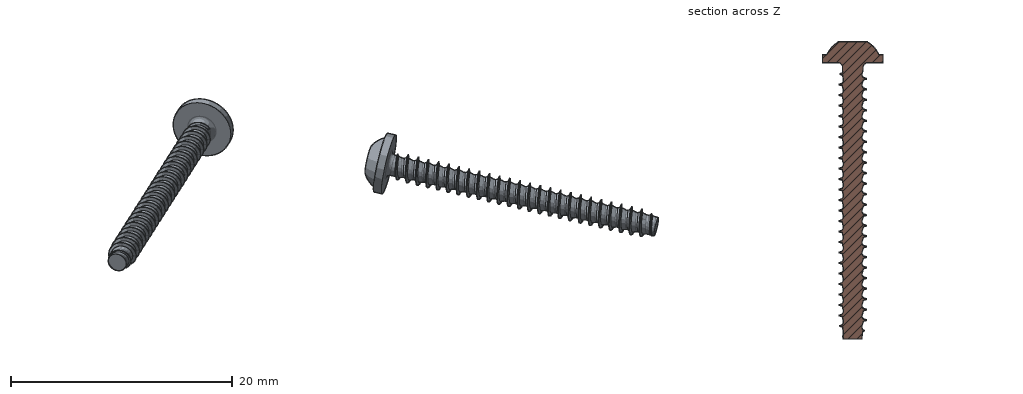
import cadquery as cq
import math

TOTAL_LENGTH = 26.9

FLANGE_DIAMETER = 5.5
FLANGE_RADIUS = FLANGE_DIAMETER / 2
FLANGE_THICKNESS = 0.75
HEAD_HEIGHT = 1.9
DOME_HEIGHT = HEAD_HEIGHT - FLANGE_THICKNESS
DOME_BASE_RADIUS = 2.37
DOME_TOP_RADIUS = 1.32

SHANK_LENGTH = TOTAL_LENGTH - HEAD_HEIGHT
CORE_RADIUS = 0.85
NECK_RADIUS = 0.95
NECK_FILLET = 0.4
NECK_LENGTH = 0.7
NECK_TAPER_LENGTH = 0.27

CREST_RADIUS = 1.26
CREST_HALF_WIDTH = 0.03
KNEE_RADIUS = 0.97
KNEE_HALF_WIDTH = 0.1
HEAD_SIDE_FOOT = 0.32
TIP_SIDE_FOOT = 0.55
ROOT_EMBED = 0.013
ROOT_RADIUS = CORE_RADIUS - ROOT_EMBED
THREAD_TOP = -0.5
THREAD_END_MARGIN = 0.03
TURNS = 25.75
PITCH = (SHANK_LENGTH - THREAD_END_MARGIN + THREAD_TOP) / TURNS
START_TURN = 1 / 12
FADE_IN_END = 1.0
FADE_OUT_START = TURNS - 1.5
START_HEIGHT = 0.6
END_HEIGHT = 0.02
POINTS_PER_TURN = 24

THREAD_PROFILE = [
    (ROOT_RADIUS, -HEAD_SIDE_FOOT),
    (KNEE_RADIUS, -KNEE_HALF_WIDTH),
    (CREST_RADIUS, -CREST_HALF_WIDTH),
    (CREST_RADIUS, CREST_HALF_WIDTH),
    (KNEE_RADIUS, KNEE_HALF_WIDTH),
    (ROOT_RADIUS, TIP_SIDE_FOOT),
]


def make_body():
    """Head, neck and core as one revolved half-section."""
    centre_depth = (DOME_BASE_RADIUS**2 - DOME_TOP_RADIUS**2 + DOME_HEIGHT**2) / (2 * DOME_HEIGHT)
    sphere_radius = math.hypot(DOME_TOP_RADIUS, centre_depth)
    mid_depth = DOME_HEIGHT / 2
    dome_mid_radius = math.sqrt(sphere_radius**2 - (centre_depth - mid_depth) ** 2)
    return (
        cq.Workplane("XY")
        .moveTo(0, HEAD_HEIGHT)
        .lineTo(DOME_TOP_RADIUS, HEAD_HEIGHT)
        .threePointArc((dome_mid_radius, HEAD_HEIGHT - mid_depth), (DOME_BASE_RADIUS, FLANGE_THICKNESS))
        .lineTo(FLANGE_RADIUS, FLANGE_THICKNESS)
        .lineTo(FLANGE_RADIUS, 0)
        .lineTo(NECK_RADIUS + NECK_FILLET, 0)
        .radiusArc((NECK_RADIUS, -NECK_FILLET), -NECK_FILLET)
        .lineTo(NECK_RADIUS, -NECK_LENGTH)
        .lineTo(CORE_RADIUS, -NECK_LENGTH - NECK_TAPER_LENGTH)
        .lineTo(CORE_RADIUS, -SHANK_LENGTH)
        .lineTo(0, -SHANK_LENGTH)
        .close()
        .revolve(360, (0, 0, 0), (0, 1, 0))
    )


def thread_height(turn):
    """Share of the full thread height: rises near the head and dies away toward the tip."""
    if turn < FADE_IN_END:
        return START_HEIGHT + (1 - START_HEIGHT) * (turn - START_TURN) / (FADE_IN_END - START_TURN)
    if turn > FADE_OUT_START:
        return 1 - (1 - END_HEIGHT) * (turn - FADE_OUT_START) / (TURNS - FADE_OUT_START)
    return 1.0


def helix_edge(corner, first_turn, last_turn):
    """Helical path of one profile corner between two turn positions."""
    radius, offset = corner
    steps = math.ceil((last_turn - first_turn) * POINTS_PER_TURN)
    points = []
    for step in range(steps + 1):
        turn = first_turn + (last_turn - first_turn) * step / steps
        angle = 2 * math.pi * turn
        r = ROOT_RADIUS + (radius - ROOT_RADIUS) * thread_height(turn)
        y = THREAD_TOP - PITCH * turn - offset
        points.append(cq.Vector(r * math.cos(angle), y, r * math.sin(angle)))
    return cq.Edge.makeSpline(points)


def end_cap(edges, at_start):
    """Flat face that closes the thread profile at one end."""
    corners = [edge.startPoint() if at_start else edge.endPoint() for edge in edges]
    return cq.Face.makeFromWires(cq.Wire.makePolygon(corners, close=True))


def make_thread():
    """Solid ridge bounded by ruled faces between neighbouring corner helices, one stretch per turn."""
    full_turns = range(math.ceil(FADE_IN_END), math.ceil(FADE_OUT_START))
    stops = [START_TURN, *full_turns, FADE_OUT_START, TURNS]
    stretches = []
    for first_turn, last_turn in zip(stops, stops[1:]):
        stretches.append([helix_edge(corner, first_turn, last_turn) for corner in THREAD_PROFILE])
    faces = [end_cap(stretches[0], True), end_cap(stretches[-1], False)]
    for edges in stretches:
        for edge, neighbour in zip(edges, edges[1:] + edges[:1]):
            faces.append(cq.Face.makeRuledSurface(edge, neighbour))
    return cq.Solid.makeSolid(cq.Shell.makeShell(faces))


def make_tip_trim():
    """Block beyond the flat tip, where the foot of the last turn would stick out."""
    return cq.Workplane("XZ", origin=(0, -SHANK_LENGTH, 0)).circle(FLANGE_RADIUS).extrude(PITCH)


result = make_body().union(cq.Workplane(obj=make_thread())).cut(make_tip_trim())